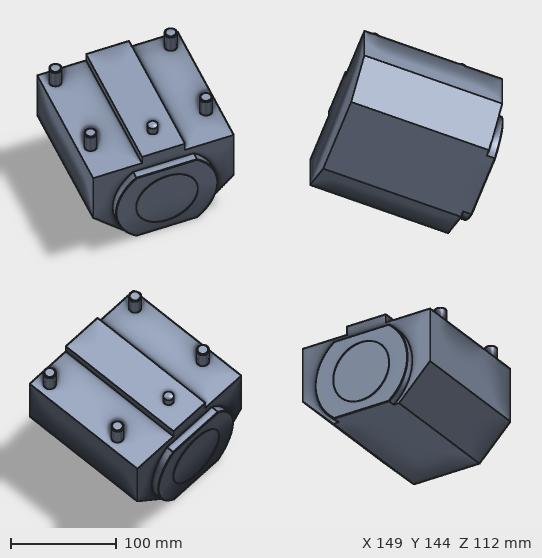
import cadquery as cq

total_length = 149.0
body_width = 144.0
total_height = 112.0

flange_thickness = 8.5
flange_diameter = 104.0
flange_height = 83.5
flange_chamfer = 0.6
disc_thickness = 0.6
disc_diameter = 63.0

body_length = total_length - flange_thickness - disc_thickness
bottom_width = 74.0
bevel = (body_width - bottom_width) / 2
stud_height = 20.0
shelf_height = total_height - stud_height
rail_width = 44.0
rail_height = 9.0
rail_top = shelf_height + rail_height

stud_diameter = 12.0
stud_chamfer = 1.0
stud_center_x = 58.0
stud_spacing_x = 87.9
stud_spacing_y = 118.0

pin_diameter = 10.0
pin_x = 113.0
pin_straight_height = 8.0
pin_dome_height = 1.5


def make_body():
    """Bevelled block with the rail along its full length."""
    block = (
        cq.Workplane("YZ")
        .moveTo(-bottom_width / 2, 0)
        .lineTo(bottom_width / 2, 0)
        .lineTo(body_width / 2, bevel)
        .lineTo(body_width / 2, shelf_height)
        .lineTo(-body_width / 2, shelf_height)
        .lineTo(-body_width / 2, bevel)
        .close()
        .extrude(body_length)
    )
    rail = (
        cq.Workplane("XY", origin=(body_length / 2, 0, shelf_height))
        .rect(body_length, rail_width)
        .extrude(rail_height)
    )
    return block.union(rail)


def make_flange():
    """Round flange with flats above and below, carrying the raised disc."""
    base = cq.Workplane("YZ", origin=(body_length, 0, flange_height / 2))
    flats = base.rect(flange_diameter, flange_height).extrude(flange_thickness)
    flange = base.circle(flange_diameter / 2).extrude(flange_thickness).intersect(flats)
    flange = flange.faces(">X").edges().chamfer(flange_chamfer)
    disc = base.circle(disc_diameter / 2).extrude(flange_thickness + disc_thickness)
    return flange.union(disc)


def make_studs():
    """Rectangular pattern of studs rising from the shelves."""
    return (
        cq.Workplane("XY", origin=(stud_center_x, 0, shelf_height))
        .rect(stud_spacing_x, stud_spacing_y, forConstruction=True)
        .vertices()
        .circle(stud_diameter / 2)
        .extrude(stud_height)
        .faces(">Z")
        .edges()
        .chamfer(stud_chamfer)
    )


def make_pin():
    """Straight pin with a shallow spherical dome, revolved about its axis."""
    radius = pin_diameter / 2
    dome_radius = (radius**2 + pin_dome_height**2) / (2 * pin_dome_height)
    tip = pin_straight_height + pin_dome_height
    mid_x = radius / 2
    mid_z = tip - dome_radius + (dome_radius**2 - mid_x**2) ** 0.5
    return (
        cq.Workplane("XZ", origin=(pin_x, 0, rail_top))
        .lineTo(radius, 0)
        .lineTo(radius, pin_straight_height)
        .threePointArc((mid_x, mid_z), (0, tip))
        .close()
        .revolve(360, (0, 0, 0), (0, 1, 0))
    )


result = make_body().union(make_flange()).union(make_studs()).union(make_pin())